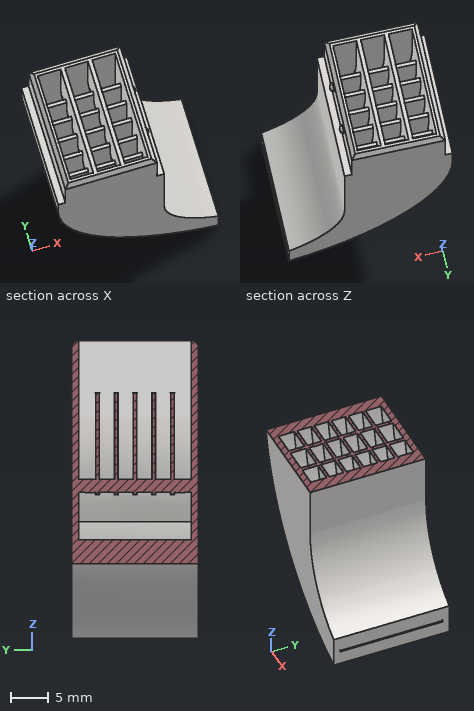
import cadquery as cq
import math

length = 22.4
width = 17.0
height = 39.8

body_depth = 14.8
neck_inset = 1.0
neck_height = 7.0
rim_chamfer = 0.6

back_curve_z = -10.4
front_curve_z = -22.6
tip_height = 4.5

side_wall = 1.0
curved_wall = 2.0
partition_thickness = 0.6
partition_curves = [(27.0, 30.0), (23.0, 25.2)]
rib_count = 5
rib_pitch = 2.5
rib_thickness = 0.5
vane_bottom_z = -20.6

bump_radius = 0.65
bump_protrusion = 0.45
bump_spacing = 6.0
bump_z = -3.8

duct_width = width - 2 * side_wall
duct_depth = body_depth - 2 * curved_wall
duct_front_x = body_depth - curved_wall
channel_count = len(partition_curves) + 1
channel_depth = (duct_depth - len(partition_curves) * partition_thickness) / channel_count


def tangent_radius(run, drop):
    """Radius of an arc that leaves a vertical line and covers the given run and drop."""
    return (run**2 + drop**2) / (2 * run)


def arc_point(center, radius, angle):
    """Point on the back side of a circle, with the angle measured down from horizontal."""
    return (center[0] - radius * math.cos(angle), center[1] - radius * math.sin(angle))


def angle_at_x(center, radius, x):
    """Downward angle at which a circle's back side reaches a given X."""
    return math.acos((center[0] - x) / radius)


back_radius = tangent_radius(length, height + back_curve_z)
back_center = (back_radius, back_curve_z)
front_radius = tangent_radius(length - body_depth, height - tip_height + front_curve_z)
front_center = (body_depth + front_radius, front_curve_z)


def extrude_centered(outline, depth):
    """Extrude a closed XZ outline evenly to both sides of Y = 0."""
    return outline.close().extrude(depth / 2, both=True)


def horn(back_x, front_x, top_z, back_r, front_r, depth):
    """Solid between two vertical walls that bend forward and end on the tip plane."""
    back_end = angle_at_x(back_center, back_r, length)
    front_end = angle_at_x(front_center, front_r, length)
    outline = (
        cq.Workplane("XZ")
        .moveTo(back_x, top_z)
        .lineTo(back_x, back_curve_z)
        .threePointArc(
            arc_point(back_center, back_r, back_end / 2),
            arc_point(back_center, back_r, back_end),
        )
        .lineTo(*arc_point(front_center, front_r, front_end))
        .threePointArc(
            arc_point(front_center, front_r, front_end / 2),
            (front_x, front_curve_z),
        )
        .lineTo(front_x, top_z)
    )
    return extrude_centered(outline, depth)


def neck():
    """Rectangular neck with a chamfered rim."""
    return (
        cq.Workplane("XY")
        .workplane(offset=-neck_height)
        .center(body_depth / 2, 0)
        .rect(body_depth - 2 * neck_inset, width)
        .extrude(neck_height)
        .faces(">Z")
        .chamfer(rim_chamfer)
    )


def partition(front_x, radius, sweep):
    """Full-width vane, straight at the top and curving forward below."""
    center = (front_x + radius, back_curve_z)
    outer_radius = radius + partition_thickness
    end = math.radians(sweep)
    back_x = front_x - partition_thickness
    outline = (
        cq.Workplane("XZ")
        .moveTo(back_x, 0)
        .lineTo(back_x, back_curve_z)
        .threePointArc(
            arc_point(center, outer_radius, end / 2),
            arc_point(center, outer_radius, end),
        )
        .lineTo(*arc_point(center, radius, end))
        .threePointArc(arc_point(center, radius, end / 2), (front_x, back_curve_z))
        .lineTo(front_x, 0)
    )
    return extrude_centered(outline, duct_width)


def ribs():
    """Crosswise ribs, recessed below the neck, spaced evenly along Y."""
    return (
        cq.Workplane("XY")
        .workplane(offset=-neck_height)
        .center(curved_wall + duct_depth / 2, 0)
        .rarray(1, rib_pitch, 1, rib_count)
        .rect(duct_depth, rib_thickness)
        .extrude(vane_bottom_z + neck_height)
    )


def bump(y):
    """Ball sunk into the front face of the neck."""
    center_x = body_depth - neck_inset + bump_protrusion - bump_radius
    return cq.Workplane("YZ", origin=(center_x, y, bump_z)).sphere(bump_radius)


duct = horn(
    curved_wall,
    duct_front_x,
    0,
    back_radius - curved_wall,
    front_radius + curved_wall,
    duct_width,
)

vanes = ribs()
for index, (radius, sweep) in enumerate(partition_curves):
    partition_front_x = curved_wall + (index + 1) * (channel_depth + partition_thickness)
    vanes = vanes.union(partition(partition_front_x, radius, sweep))
channels = duct.cut(vanes)

result = horn(0, body_depth, -neck_height, back_radius, front_radius, width).union(neck())
for bump_y in (-bump_spacing / 2, bump_spacing / 2):
    result = result.union(bump(bump_y))
result = result.cut(channels)